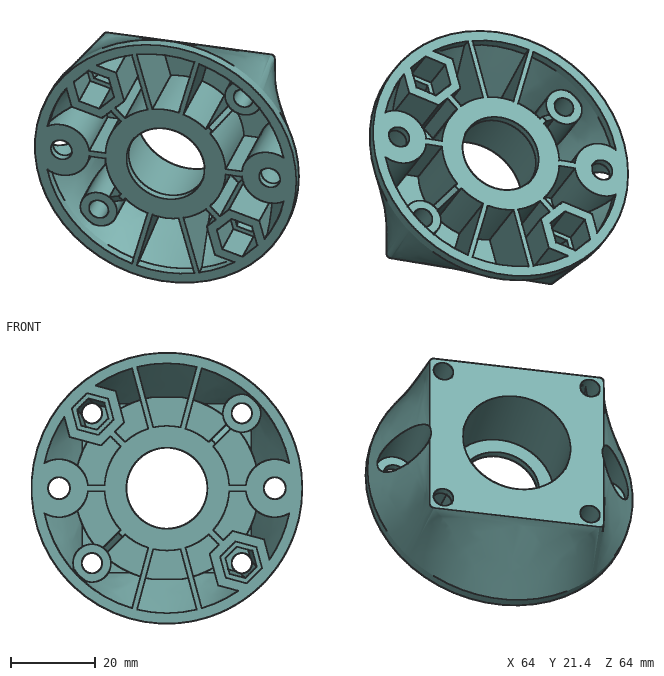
import cadquery as cq
import math

depth = 21.4
flange_radius = 32.0
flange_thickness = 2.5
back_half_width = 21.0
back_corner_radius = 1.0

rim_radius = flange_radius - flange_thickness
cavity_half_width = back_half_width - back_corner_radius
floor_thickness = 2.0
cavity_depth = depth - floor_thickness
floor_disc_radius = 21.75
floor_disc_depth = 16.65

hub_radius = 14.7
hub_bore_radius = 9.55
bearing_seat_radius = 13.0
lip_thickness = 2.0

side_boss_distance = 25.5
side_boss_radius = 6.85
side_hole_radius = 2.55
head_recess_radius = 4.8

diagonal_boss_distance = 25.0
round_boss_radius = 4.5
round_boss_recess = 5.0
diagonal_hole_radius = 2.4
nut_boss_distance = 24.8
nut_boss_radius = 7.7
nut_pocket_radius = 5.1
nut_pocket_depth = 10.0
nut_passage_radius = 3.85
nut_passage_shift = 1.9

rib_width = 1.5
spoke_width = 1.2
spoke_tilt = 15.0

side_boss_angles = (0, 180)
round_boss_angles = (45, 225)
nut_boss_angles = (135, 315)
spoke_angles = [side + tilt for side in (90, 270) for tilt in (-spoke_tilt, spoke_tilt)]


def front_plane(y=0.0):
    """Sketch plane facing -Y, with X to the right and Z up."""
    return cq.Workplane("XZ", origin=(0, y, 0))


def polar(radius, angle):
    radians = math.radians(angle)
    return (radius * math.cos(radians), radius * math.sin(radians))


def cylinder(radius, start, end, center=(0, 0)):
    return front_plane(start).center(*center).circle(radius).extrude(start - end)


def hexagon(radius, angle, center):
    """Hexagon corners, with one flat facing in the direction of angle."""
    corners = [polar(radius, angle + 30 + 60 * step) for step in range(6)]
    return [(center[0] + x, center[1] + z) for x, z in corners]


def alternating_outline(sketch, points, corner_mids, side_mids=None):
    """Closed outline of four corner arcs joined by sides, which are arcs if side_mids are given."""
    outline = sketch.moveTo(*points[0])
    for quarter in range(4):
        outline = outline.threePointArc(corner_mids[quarter], points[2 * quarter + 1])
        side_end = points[(2 * quarter + 2) % len(points)]
        if side_mids:
            outline = outline.threePointArc(side_mids[quarter], side_end)
        else:
            outline = outline.lineTo(*side_end)
    return outline.close()


def circle_to_square(circle_radius, circle_y, half_width, square_y):
    """Ruled transition from a circle to a square with rounded corners."""
    straight = half_width - back_corner_radius
    tangent_angle = math.degrees(math.atan2(straight, half_width))
    tangent_distance = math.hypot(straight, half_width)
    corner_distance = straight * math.sqrt(2) + back_corner_radius
    corner_angles = [45, 135, 225, 315]
    tangent_angles = []
    for corner in corner_angles:
        tangent_angles += [corner - 45 + tangent_angle, corner + 45 - tangent_angle]
    sketch = alternating_outline(
        front_plane(circle_y),
        [polar(circle_radius, angle) for angle in tangent_angles],
        [polar(circle_radius, angle) for angle in corner_angles],
        [polar(circle_radius, angle + 45) for angle in corner_angles],
    )
    sketch = alternating_outline(
        sketch.workplane(offset=circle_y - square_y),
        [polar(tangent_distance, angle) for angle in tangent_angles],
        [polar(corner_distance, angle) for angle in corner_angles],
    )
    return sketch.loft(ruled=True)


def radial_blade(profile, angle, width):
    """Plate standing along a radius; profile points are (distance from the axis, y)."""
    blade = cq.Workplane("XY").polyline(profile).close().extrude(width / 2, both=True)
    return blade.rotate((0, 0, 0), (0, 1, 0), -angle)


def rib(inner, outer, angle, width):
    """Radial rib from the front down to the cavity floor."""
    profile = [(inner, 0), (outer, 0), (outer, cavity_depth), (inner, cavity_depth)]
    return radial_blade(profile, angle, width)


def ramp_rib(angle):
    """Radial rib whose front edge falls at 45 degrees from the hub to a recessed round boss."""
    ramp_end = diagonal_boss_distance - round_boss_radius
    ramp_start = ramp_end - round_boss_recess
    profile = [
        (bearing_seat_radius, 0),
        (ramp_start, 0),
        (ramp_end, round_boss_recess),
        (diagonal_boss_distance, round_boss_recess),
        (diagonal_boss_distance, cavity_depth),
        (bearing_seat_radius, cavity_depth),
    ]
    return radial_blade(profile, angle, rib_width)


def make_envelope():
    flange = cylinder(flange_radius, 0, flange_thickness)
    return flange.union(circle_to_square(flange_radius, flange_thickness, back_half_width, depth))


def make_cavity():
    mouth = cylinder(rim_radius, 0, flange_thickness)
    tapered = circle_to_square(rim_radius, flange_thickness, cavity_half_width, cavity_depth)
    floor_disc = cylinder(floor_disc_radius, floor_disc_depth, cavity_depth)
    return mouth.union(tapered).cut(floor_disc)


def make_nut_pocket(angle):
    """Hexagonal pocket, then a smaller hexagonal passage leaning toward the hub."""
    center = polar(nut_boss_distance, angle)
    shifted = polar(nut_boss_distance - nut_passage_shift, angle)
    pocket_corners = hexagon(nut_pocket_radius, angle, center)
    pocket = front_plane().polyline(pocket_corners).close().extrude(-nut_pocket_depth)
    passage = (
        front_plane(nut_pocket_depth)
        .polyline(hexagon(nut_passage_radius, angle, center))
        .close()
        .workplane(offset=nut_pocket_depth - cavity_depth)
        .polyline(hexagon(nut_passage_radius, angle, shifted))
        .close()
        .loft(ruled=True)
    )
    return pocket.union(passage)


interior = cylinder(hub_radius, 0, depth)
for angle in side_boss_angles:
    interior = interior.union(cylinder(side_boss_radius, 0, depth, polar(side_boss_distance, angle)))
    interior = interior.union(rib(bearing_seat_radius, side_boss_distance, angle, rib_width))
for angle in round_boss_angles:
    center = polar(diagonal_boss_distance, angle)
    interior = interior.union(cylinder(round_boss_radius, round_boss_recess, depth, center))
    interior = interior.union(ramp_rib(angle))
for angle in nut_boss_angles:
    corners = hexagon(nut_boss_radius, angle, polar(nut_boss_distance, angle))
    interior = interior.union(front_plane().polyline(corners).close().extrude(-depth))
    interior = interior.union(rib(bearing_seat_radius, nut_boss_distance, angle, rib_width))
for angle in spoke_angles:
    interior = interior.union(rib(bearing_seat_radius, flange_radius, angle, spoke_width))

envelope = make_envelope()
result = envelope.cut(make_cavity()).union(interior.intersect(envelope))

result = result.cut(cylinder(hub_bore_radius, 0, depth))
result = result.cut(cylinder(bearing_seat_radius, lip_thickness, depth))

for angle in side_boss_angles:
    center = polar(side_boss_distance, angle)
    result = result.cut(cylinder(side_hole_radius, 0, depth, center))
    result = result.cut(cylinder(head_recess_radius, lip_thickness, depth, center))
for angle in round_boss_angles + nut_boss_angles:
    result = result.cut(cylinder(diagonal_hole_radius, 0, depth, polar(diagonal_boss_distance, angle)))
for angle in nut_boss_angles:
    result = result.cut(make_nut_pocket(angle))